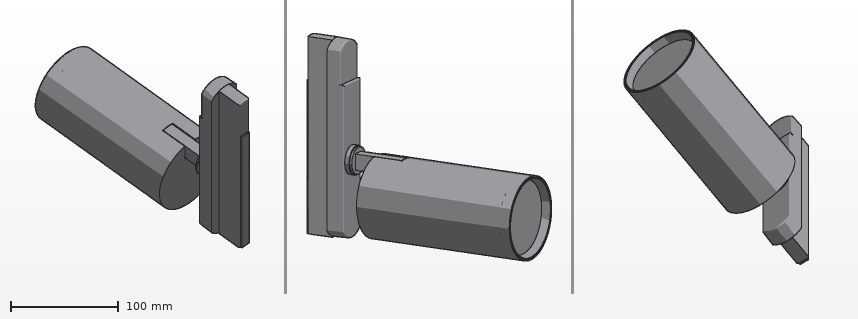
import cadquery as cq
import math


lamp_length = 162.6
lamp_diameter = 80.0
sleeve_diameter = 77.5
reflector_diameter = 75.4
reflector_mouth_diameter = 75.0
reflector_throat_diameter = 70.8
reflector_depth = 8.2
lens_thickness = 3.0
front_pocket_depth = reflector_depth + lens_thickness

arm_start = 133.5
arm_width = 11.7
arm_bottom = 23.4
arm_top_radius = 39.5
slot_width = 13.1

collar_start = 182.9
collar_step = 185.2
collar_nose_diameter = 26.2
collar_diameter = 28.2
collar_height = 31.5

cover_front = 189.9
upper_cover_front = 193.0
cover_back = 207.3
slab_back = 233.9
plate_back = 235.51
adapter_bottom = -43.95
adapter_top = adapter_bottom + 190.37
cover_width = 32.8
end_radius = 20.4
cover_taper = 2.0
cover_step_height = 106.2
corner_fillet = 1.8
front_fillet = 1.4
slab_width = 13.1
slab_fillet = 1.5
plate_width = 9.7
plate_top = 103.0


def end_drop(width):
    """Height lost from the crown of the rounded end to the sides of a bar of this width."""
    half_width = width / 2
    return end_radius - math.sqrt(end_radius**2 - half_width**2)


def x_cylinder(diameter, start, end, height=0.0):
    """Cylinder along X between two X positions, centred at the given Z."""
    plane = cq.Workplane("YZ", origin=(start, 0, height))
    return plane.circle(diameter / 2).extrude(end - start)


def box_between(start, end, width, bottom, top):
    """Box centred on Y = 0 between the given X and Z limits."""
    plane = cq.Workplane("XY", origin=(start, 0, bottom))
    return plane.box(end - start, width, top - bottom, centered=(False, True, False))


def make_housing():
    body = x_cylinder(lamp_diameter, 0, lamp_length)
    pocket = x_cylinder(sleeve_diameter, 0, front_pocket_depth)
    slot = box_between(arm_start, lamp_length, slot_width, arm_bottom, lamp_diameter / 2)
    return body.cut(pocket).cut(slot)


def make_sleeve():
    outside = x_cylinder(sleeve_diameter, 0, front_pocket_depth)
    return outside.cut(x_cylinder(reflector_diameter, 0, front_pocket_depth))


def make_reflector():
    section = cq.Workplane("XY").polyline([
        (0, reflector_mouth_diameter / 2),
        (0, reflector_diameter / 2),
        (reflector_depth, reflector_diameter / 2),
        (reflector_depth, reflector_throat_diameter / 2),
    ]).close()
    return section.revolve(360, (0, 0, 0), (1, 0, 0))


def make_lens():
    return x_cylinder(reflector_diameter, reflector_depth, front_pocket_depth)


def make_arm():
    bar = box_between(arm_start, collar_start, arm_width, arm_bottom, arm_top_radius)
    return bar.intersect(x_cylinder(2 * arm_top_radius, arm_start, collar_start))


def make_collar():
    nose = x_cylinder(collar_nose_diameter, collar_start, collar_step, collar_height)
    base = x_cylinder(collar_diameter, collar_step, cover_front, collar_height)
    return nose.union(base)


def make_cover():
    half_width = cover_width / 2
    upper_corner = adapter_top - end_drop(cover_width)
    lower_corner = adapter_bottom + end_drop(cover_width)
    outline = (
        cq.Workplane("YZ", origin=(cover_back, 0, 0))
        .moveTo(-half_width, lower_corner)
        .lineTo(-half_width, upper_corner)
        .threePointArc((0, adapter_top), (half_width, upper_corner))
        .lineTo(half_width, lower_corner)
        .threePointArc((0, adapter_bottom), (-half_width, lower_corner))
        .close()
    )
    cover = outline.extrude(cover_front - cover_back, taper=cover_taper)

    end_margin = 1.0
    side_corners = cq.selectors.BoxSelector(
        (cover_front + end_margin, -cover_width, adapter_bottom),
        (cover_back - end_margin, cover_width, adapter_top),
    )
    cover = cover.edges(side_corners).fillet(corner_fillet)

    step = box_between(cover_front, upper_cover_front, cover_width, cover_step_height, adapter_top)
    cover = cover.cut(step)

    inner_corner = cq.Vector(upper_cover_front, 0, cover_step_height)
    front_edges = cover.faces("<X or >X[-2]").edges()
    outer_edges = front_edges.filter(lambda edge: (edge.Center() - inner_corner).Length > front_fillet)
    return outer_edges.fillet(front_fillet)


def make_slab():
    half_width = slab_width / 2
    upper_corner = adapter_top - end_drop(slab_width)
    slab = (
        cq.Workplane("YZ", origin=(cover_back, 0, 0))
        .moveTo(-half_width, adapter_bottom)
        .lineTo(-half_width, upper_corner)
        .threePointArc((0, adapter_top), (half_width, upper_corner))
        .lineTo(half_width, adapter_bottom)
        .close()
        .extrude(slab_back - cover_back)
    )
    return slab.faces(">X").edges("not <Z").fillet(slab_fillet)


def make_plate():
    return box_between(slab_back, plate_back, plate_width, adapter_bottom, plate_top)


housing = make_housing()
sleeve = make_sleeve()
reflector = make_reflector()
lens = make_lens()
arm = make_arm()
collar = make_collar()
cover = make_cover()
slab = make_slab()
plate = make_plate()

bodies = [housing, sleeve, reflector, lens, arm, collar, cover, slab, plate]
result = cq.Compound.makeCompound([body.val() for body in bodies])